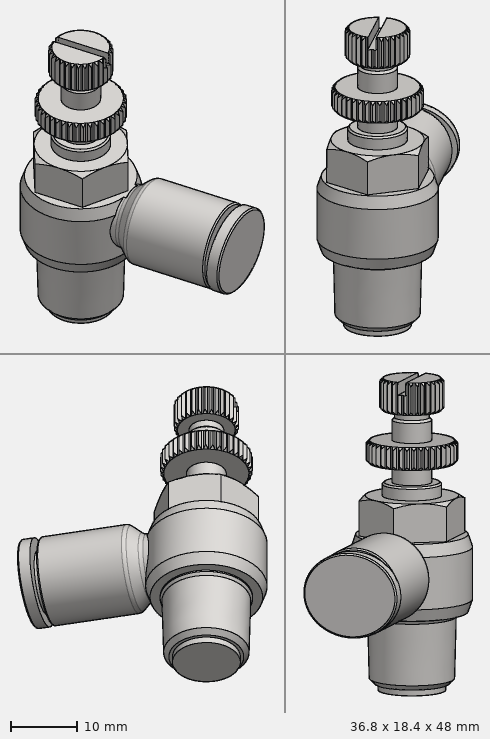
import cadquery as cq
import math

TIP_TOP = 1.0
THREAD_BOTTOM = 1.8
THREAD_TOP = 11.35
SEAL_BOTTOM = 11.85
BODY_BOTTOM = 12.1
BODY_TOP = 23.95
HEX_TOP = 29.9
COLLAR_TOP = 31.95
LOCK_NUT_BOTTOM = 34.95
LOCK_NUT_TOP = 38.45
STEM_TOP = 41.9
KNOB_BOTTOM = 43.0
KNOB_TOP = 48

TIP_RADIUS = 5.15
THREAD_CHAMFER_RADIUS = 5.65
THREAD_BOTTOM_RADIUS = 6.5
THREAD_TOP_RADIUS = 6.7
SEAL_RADIUS = 7.0
BODY_DIAMETER = 18.4
BODY_RADIUS = BODY_DIAMETER / 2
BODY_BEVEL_WIDTH = 0.65
BODY_BEVEL_HEIGHT = 1.9

HEX_ACROSS_FLATS = 14.1
HEX_BEVEL_ANGLE = 30
COLLAR_RADIUS = 4.5
COLLAR_CHAMFER = 0.3
STEM_RADIUS = 3.0
STEM_CHAMFER = 0.4
STEM_NECK_RADIUS = STEM_RADIUS - STEM_CHAMFER

LOCK_NUT_RADIUS = 6.95
LOCK_NUT_TEETH = 40
LOCK_NUT_TOOTH_DEPTH = 0.55
KNOB_RADIUS = 4.9
KNOB_TEETH = 30
KNOB_TOOTH_DEPTH = 0.55
TOOTH_BASE_SHARE = 0.75
SLOT_WIDTH = 1.25
SLOT_DEPTH = 1.9

OVERALL_LENGTH = 36.8
ARM_HEIGHT = 19.3
ARM_NECK_RADIUS = 5.0
ARM_RADIUS = 6.8
NECK_FLAT_END = 8.75
CONE_START = 9.0
CONE_END = 11.15
CONE_BLEND_RADIUS = 1.0
ARM_END = 24.8
ARM_CHAMFER = 0.25
GROOVE_RADIUS = 4.85
RELEASE_RING_START = 25.65
RELEASE_RING_END = OVERALL_LENGTH - BODY_RADIUS
RELEASE_RING_WIDTH = 15.0
RELEASE_RING_HEIGHT = 13.0
RELEASE_RING_CHAMFER = 0.25


def revolved(profile):
    """Revolve (radius, height) points around the vertical axis."""
    return cq.Workplane("XZ").polyline(profile).close().revolve(360, (0, 0, 0), (0, 1, 0))


def cylinder(radius, bottom, top):
    return cq.Workplane("XY").workplane(offset=bottom).circle(radius).extrude(top - bottom)


def knurled_disc(radius, depth, teeth, bottom, top):
    """Disc with pointed teeth, one centred half a pitch from +X, and both rims bevelled to the roots."""
    root_radius = radius - depth
    pitch = 2 * math.pi / teeth
    half_base = TOOTH_BASE_SHARE * pitch / 2
    outline = []
    for tooth in range(teeth):
        centre = (tooth + 0.5) * pitch
        corners = (
            (root_radius, centre - half_base),
            (radius, centre),
            (root_radius, centre + half_base),
        )
        for distance, angle in corners:
            outline.append((distance * math.cos(angle), distance * math.sin(angle)))
    disc = cq.Workplane("XY").workplane(offset=bottom).polyline(outline).close().extrude(top - bottom)
    envelope = revolved([
        (0, bottom),
        (root_radius, bottom),
        (radius, bottom + depth),
        (radius, top - depth),
        (root_radius, top),
        (0, top),
    ])
    return disc.intersect(envelope)


def threaded_end_and_body():
    bevel_radius = BODY_RADIUS - BODY_BEVEL_WIDTH
    return revolved([
        (0, 0),
        (TIP_RADIUS, 0),
        (TIP_RADIUS, TIP_TOP),
        (THREAD_CHAMFER_RADIUS, TIP_TOP),
        (THREAD_BOTTOM_RADIUS, THREAD_BOTTOM),
        (THREAD_TOP_RADIUS, THREAD_TOP),
        (SEAL_RADIUS, SEAL_BOTTOM),
        (SEAL_RADIUS, BODY_BOTTOM),
        (bevel_radius, BODY_BOTTOM),
        (BODY_RADIUS, BODY_BOTTOM + BODY_BEVEL_HEIGHT),
        (BODY_RADIUS, BODY_TOP - BODY_BEVEL_HEIGHT),
        (bevel_radius, BODY_TOP),
        (0, BODY_TOP),
    ])


def hexagon():
    """Hexagon with corners on the X axis and its top corners turned off in a shallow cone."""
    flat_radius = HEX_ACROSS_FLATS / 2
    corner_radius = flat_radius / math.cos(math.pi / 6)
    corner_drop = (corner_radius - flat_radius) * math.tan(math.radians(HEX_BEVEL_ANGLE))
    prism = (
        cq.Workplane("XY").workplane(offset=BODY_TOP)
        .polygon(6, 2 * corner_radius).extrude(HEX_TOP - BODY_TOP)
    )
    envelope = revolved([
        (0, BODY_TOP),
        (corner_radius, BODY_TOP),
        (corner_radius, HEX_TOP - corner_drop),
        (flat_radius, HEX_TOP),
        (0, HEX_TOP),
    ])
    return prism.intersect(envelope)


def collar_and_stem():
    collar = cylinder(COLLAR_RADIUS, HEX_TOP, COLLAR_TOP).faces(">Z").chamfer(COLLAR_CHAMFER)
    stem = cylinder(STEM_RADIUS, HEX_TOP, STEM_TOP).faces(">Z").chamfer(STEM_CHAMFER)
    neck = cylinder(STEM_NECK_RADIUS, HEX_TOP, KNOB_BOTTOM)
    return collar.union(stem).union(neck)


def knob():
    slot = (
        cq.Workplane("XY").workplane(offset=KNOB_TOP - SLOT_DEPTH)
        .rect(2 * KNOB_RADIUS, SLOT_WIDTH).extrude(SLOT_DEPTH)
    )
    return knurled_disc(KNOB_RADIUS, KNOB_TOOTH_DEPTH, KNOB_TEETH, KNOB_BOTTOM, KNOB_TOP).cut(slot)


def arm():
    """Neck, blended cone and sleeve, with the neck trimmed level with the top of the body."""
    barrel = (
        cq.Workplane("XZ", origin=(0, 0, ARM_HEIGHT))
        .polyline([
            (0, 0),
            (0, ARM_NECK_RADIUS),
            (CONE_START, ARM_NECK_RADIUS),
            (CONE_END, ARM_RADIUS),
            (ARM_END, ARM_RADIUS),
            (ARM_END, 0),
        ]).close().revolve(360, (0, 0, 0), (1, 0, 0))
    )
    around_cone = cq.selectors.BoxSelector(
        (CONE_START - CONE_BLEND_RADIUS, -BODY_RADIUS, BODY_BOTTOM),
        (CONE_END + CONE_BLEND_RADIUS, BODY_RADIUS, HEX_TOP),
    )
    barrel = barrel.edges(around_cone).edges("%CIRCLE").fillet(CONE_BLEND_RADIUS)
    barrel = barrel.faces(">X").chamfer(ARM_CHAMFER)
    trim = (
        cq.Workplane("XY").workplane(offset=BODY_TOP)
        .rect(2 * NECK_FLAT_END, 2 * ARM_RADIUS).extrude(ARM_RADIUS)
    )
    return barrel.cut(trim)


def release_ring():
    """Oval ring at the tube end, set off from the sleeve by a round groove."""
    groove = (
        cq.Workplane("YZ", origin=(ARM_END, 0, ARM_HEIGHT))
        .circle(GROOVE_RADIUS).extrude(RELEASE_RING_START - ARM_END)
    )
    ring = (
        cq.Workplane("YZ", origin=(RELEASE_RING_START, 0, ARM_HEIGHT))
        .ellipse(RELEASE_RING_WIDTH / 2, RELEASE_RING_HEIGHT / 2)
        .extrude(RELEASE_RING_END - RELEASE_RING_START)
        .faces(">X").chamfer(RELEASE_RING_CHAMFER)
    )
    return groove.union(ring)


lock_nut = knurled_disc(
    LOCK_NUT_RADIUS, LOCK_NUT_TOOTH_DEPTH, LOCK_NUT_TEETH, LOCK_NUT_BOTTOM, LOCK_NUT_TOP
)

result = (
    threaded_end_and_body()
    .union(arm())
    .union(release_ring())
    .union(hexagon())
    .union(collar_and_stem())
    .union(lock_nut)
    .union(knob())
)